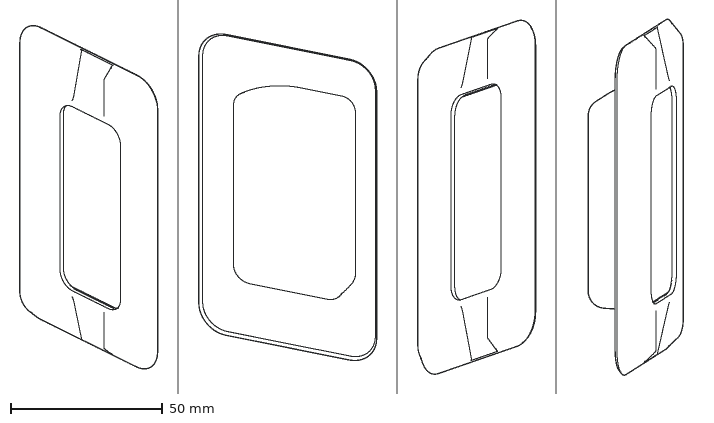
import cadquery as cq
import math

plate_width = 64.5
plate_height = 111.0
plate_thickness = 5.5
plate_corner_radius = 10.0
back_chamfer = 1.0
front_chamfer = plate_thickness - back_chamfer
front_edge_radius = 1.3
bevel_angle = 45.0

skin_thickness = 1.5
opening_left = -8.9
opening_right = 19.4
opening_height = 69.9
opening_corner_radius = 5.8

cup_depth = 20.0
cup_wall = 0.5
cup_left = -19.6
cup_arc_center_x = 0.9
cup_height = 70.5
cup_edge_radius = 5.8

slot_center_x = 4.2
slot_width = 14.1
slot_inner_z = 37.3
ramp_angle = 13.0
slot_edge_radius = 0.5

selection_margin = 0.01


def box_between(x_range, y_range, z_range):
    """Axis-aligned box given by its lower and upper limits on each axis."""
    sizes = [high - low for low, high in (x_range, y_range, z_range)]
    lows = (x_range[0], y_range[0], z_range[0])
    return cq.Workplane("XY").box(*sizes, centered=False).translate(lows)


def behind_skin():
    """Everything behind the skin of the plate, out to the back of the cup."""
    return box_between(
        (-plate_width, plate_width), (skin_thickness, cup_depth), (-plate_height, plate_height)
    )


def cup_form(inset):
    """Solid shape of the cup, moved inward by inset on every face except the open front at Y = 0."""
    left = cup_left + inset
    radius = cup_depth - inset
    edge_radius = cup_edge_radius - inset
    height = cup_height - 2 * inset
    diagonal = radius * math.sqrt(0.5)
    form = (
        cq.Workplane("XY")
        .workplane(offset=-height / 2)
        .moveTo(left, 0)
        .lineTo(left, radius)
        .lineTo(cup_arc_center_x, radius)
        .threePointArc((cup_arc_center_x + diagonal, diagonal), (cup_arc_center_x + radius, 0))
        .close()
        .extrude(height)
    )
    left_back_edge = cq.selectors.NearestToPointSelector((left, radius, 0))
    form = form.edges(left_back_edge).fillet(edge_radius)
    return form.faces("<Z or >Z").edges("not <Y").fillet(edge_radius)


def plate_blank():
    """Rounded rectangle tapering from its widest outline to a soft front edge and a slightly smaller back."""
    outline = cq.Sketch().rect(plate_width, plate_height).vertices().fillet(plate_corner_radius)
    widest = cq.Workplane("XZ", origin=(0, front_chamfer, 0)).placeSketch(outline)
    front = widest.extrude(front_chamfer, taper=bevel_angle)
    back = widest.extrude(-back_chamfer, taper=bevel_angle)
    return front.union(back).faces("<Y").edges().fillet(front_edge_radius)


def ramp_slot():
    """Wedge cut from the upper end of the plate, deepest at the outer edge."""
    run = plate_height / 2 - slot_inner_z
    depth = run * math.tan(math.radians(ramp_angle))
    return (
        cq.Workplane("YZ")
        .workplane(offset=slot_center_x - slot_width / 2)
        .moveTo(0, slot_inner_z)
        .lineTo(depth, plate_height / 2)
        .lineTo(0, plate_height / 2)
        .close()
        .extrude(slot_width)
    )


def round_slot_sides(plate):
    """Round the edges where the side walls of the slots meet the front face and the bevel."""
    angle = math.radians(ramp_angle)
    upper_ramp_edges = cq.selectors.ParallelDirSelector(cq.Vector(0, math.sin(angle), math.cos(angle)))
    lower_ramp_edges = cq.selectors.ParallelDirSelector(cq.Vector(0, math.sin(angle), -math.cos(angle)))
    for side in (-1, 1):
        wall_x = slot_center_x + side * slot_width / 2
        on_wall = cq.selectors.BoxSelector(
            (wall_x - selection_margin, -selection_margin, -plate_height),
            (wall_x + selection_margin, plate_thickness, plate_height),
            boundingbox=True,
        )
        rim_edges = on_wall - upper_ramp_edges - lower_ramp_edges
        plate = plate.edges(rim_edges).fillet(slot_edge_radius)
    return plate


def build_plate():
    """Plate with its two slots, the finger opening and the recess that holds the cup."""
    plate = plate_blank()
    opening = box_between(
        (opening_left, opening_right), (0, skin_thickness), (-opening_height / 2, opening_height / 2)
    )
    opening = opening.edges("|Y").fillet(opening_corner_radius)
    cup_recess = cup_form(0).intersect(behind_skin())
    slot = ramp_slot()
    plate = plate.cut(slot).cut(slot.mirror("XY"))
    plate = round_slot_sides(plate)
    return plate.cut(opening).cut(cup_recess)


def build_cup():
    """Thin shell that stops against the back of the skin around the opening."""
    shell = cup_form(0).cut(cup_form(cup_wall))
    return shell.intersect(behind_skin())


plate = build_plate()
cup = build_cup()
result = cq.Compound.makeCompound([plate.val(), cup.val()])